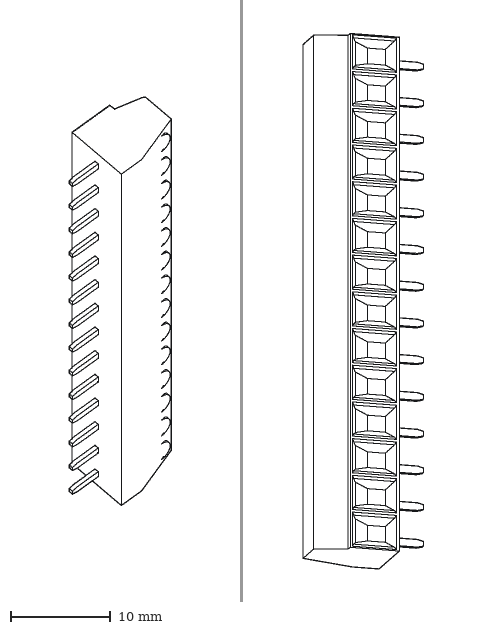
import cadquery as cq

POLES = 14
LENGTH = 53.35
WIDTH = 7.3
TOTAL_HEIGHT = 12.0
BODY_HEIGHT = 8.5
PITCH = LENGTH / POLES

SHOULDER_HEIGHT = 5.1
SHOULDER_RISE = 0.05
SHOULDER_WIDTH = 0.7
CROWN_LEFT = 1.65
CROWN_RIGHT = 5.5
CROWN_BEVEL_RUN = 0.15
CROWN_BEVEL_DROP = 0.25
BACK_HEIGHT = 2.8

ENTRY_BOTTOM = 0.3
ENTRY_TOP = 4.9
ENTRY_WALL = 0.25
RIM_DEPTH = 0.15
RIM_INSET_Y = 0.15
RIM_INSET_Z = 0.25
FUNNEL_DEPTH = 1.05
FUNNEL_TAPER = 0.7
RAMP_BOTTOM = 3.05
RAMP_TOP = 4.45
RAMP_RISE = 0.55

SCREW_DIAMETER = 2.5
SCREW_TOP = 7.8
SCREW_FACE = 6.1
SCREW_LENGTH = 1.6

PIN_THICKNESS = 0.5
PIN_WIDTH = 0.8
PIN_TIP_WIDTH = 0.5
PIN_TIP_LENGTH = 0.65
PIN_LENGTH = TOTAL_HEIGHT - BODY_HEIGHT


def make_body():
    outline = [
        (0, 0),
        (WIDTH, 0),
        (WIDTH, BACK_HEIGHT),
        (CROWN_RIGHT, BODY_HEIGHT),
        (CROWN_LEFT, BODY_HEIGHT),
        (CROWN_LEFT - CROWN_BEVEL_RUN, BODY_HEIGHT - CROWN_BEVEL_DROP),
        (SHOULDER_WIDTH, SHOULDER_HEIGHT + SHOULDER_RISE),
        (0, SHOULDER_HEIGHT),
    ]
    return cq.Workplane("XY").polyline(outline).close().extrude(LENGTH)


def frustum(start, depth, bottom, top, width, inset_y, inset_z):
    """Rectangular funnel along +X, centred on Z = 0, narrowing by the insets on every side."""
    middle = (bottom + top) / 2
    height = top - bottom
    return (
        cq.Workplane("YZ", origin=(start, middle, 0))
        .rect(height, width)
        .workplane(offset=depth)
        .rect(height - 2 * inset_y, width - 2 * inset_z)
        .loft(ruled=True)
    )


def make_entry():
    """Cutter for one wire entry: bevelled rim, tapered funnel and a ramp at the top of its floor."""
    width = PITCH - ENTRY_WALL
    rim = frustum(0, RIM_DEPTH, ENTRY_BOTTOM, ENTRY_TOP, width, RIM_INSET_Y, RIM_INSET_Z)
    funnel = frustum(
        RIM_DEPTH,
        FUNNEL_DEPTH - RIM_DEPTH,
        ENTRY_BOTTOM + RIM_INSET_Y,
        ENTRY_TOP - RIM_INSET_Y,
        width - 2 * RIM_INSET_Z,
        FUNNEL_TAPER,
        FUNNEL_TAPER,
    )
    ramp_slope = RAMP_RISE / (RAMP_TOP - RAMP_BOTTOM)
    ramp_end = FUNNEL_DEPTH - ramp_slope * (ENTRY_TOP - RAMP_BOTTOM)
    ramp = (
        cq.Workplane("XY")
        .polyline([(FUNNEL_DEPTH, RAMP_BOTTOM), (FUNNEL_DEPTH, ENTRY_TOP), (ramp_end, ENTRY_TOP)])
        .close()
        .extrude(width / 2, both=True)
    )
    return rim.union(funnel.cut(ramp))


def make_screw():
    centre_height = SCREW_TOP - SCREW_DIAMETER / 2
    return (
        cq.Workplane("YZ", origin=(SCREW_FACE - SCREW_LENGTH, centre_height, 0))
        .circle(SCREW_DIAMETER / 2)
        .extrude(SCREW_LENGTH)
    )


def make_pin():
    """Flat pin pointing to -Y from the middle of the base, its tip narrowed along Z."""
    shoulder = PIN_TIP_LENGTH - PIN_LENGTH
    outline = [
        (0, -PIN_WIDTH / 2),
        (shoulder, -PIN_WIDTH / 2),
        (-PIN_LENGTH, -PIN_TIP_WIDTH / 2),
        (-PIN_LENGTH, PIN_TIP_WIDTH / 2),
        (shoulder, PIN_WIDTH / 2),
        (0, PIN_WIDTH / 2),
    ]
    return (
        cq.Workplane("YZ", origin=(WIDTH / 2, 0, 0))
        .polyline(outline)
        .close()
        .extrude(PIN_THICKNESS / 2, both=True)
    )


entry = make_entry()
screw = make_screw()
pin = make_pin()

result = make_body()
for pole in range(POLES):
    place = (0, 0, (pole + 0.5) * PITCH)
    result = result.cut(entry.translate(place))
    result = result.union(screw.translate(place))
    result = result.union(pin.translate(place))